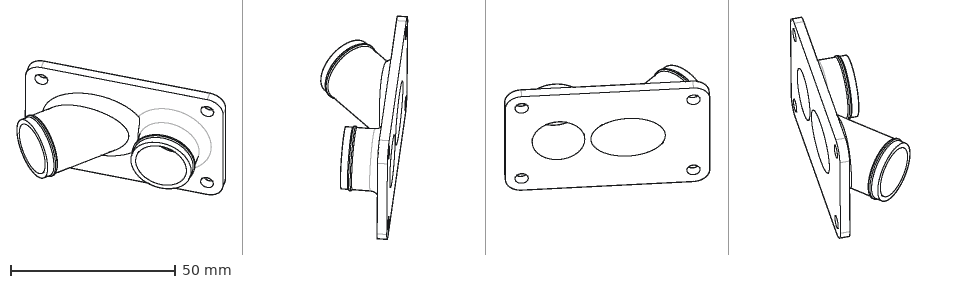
import cadquery as cq
import math

part_length = 62.75
plate_width = 62.5
plate_height = 40.0
plate_thickness = 3.0
corner_radius = 5.0
bolt_hole_diameter = 4.0
bolt_hole_inset = corner_radius

tube_diameter = 19.1
bore_diameter = 16.05
bead_diameter = 19.8
bead_crest_width = 0.5
bead_height = (bead_diameter - tube_diameter) / 2
bead_setback = 2.8
root_blend = plate_thickness

straight_tube_x = 15.0
tube_center_height = 0.4
straight_tube_reach = 15.0

part_lean_degrees = -0.4

tilt = math.radians(45)
angled_tip_depth = 25.2
end_center_depth = angled_tip_depth - tube_diameter / 2 * math.sin(tilt)
angled_end_x = plate_width / 2 - part_length + tube_diameter / 2 * math.cos(tilt)
angled_root_x = angled_end_x + end_center_depth * math.tan(tilt)
angled_tube_length = end_center_depth / math.cos(tilt)
bore_overrun = bore_diameter

straight_root = cq.Vector(straight_tube_x, 0, tube_center_height)
straight_direction = cq.Vector(0, -1, 0)
angled_root = cq.Vector(angled_root_x, 0, tube_center_height)
angled_direction = cq.Vector(-math.sin(tilt), -math.cos(tilt), 0)


def make_plate():
    """Rounded rectangular plate without holes."""
    return (
        cq.Workplane("XZ")
        .rect(plate_width, plate_height)
        .extrude(plate_thickness)
        .edges("|Y")
        .fillet(corner_radius)
    )


def cylinder_along(root, direction, diameter, start, end):
    """Cylinder between two distances from root along direction."""
    base = root + direction * start
    return cq.Workplane(cq.Solid.makeCylinder(diameter / 2, end - start, base, direction))


def plate_with_tube(root, direction, length):
    """Plate joined to one solid tube, trimmed flush with the plate back."""
    tube = cylinder_along(root, direction, tube_diameter, -tube_diameter, length)
    behind_plate = cq.Workplane("XZ").rect(2 * plate_width, 2 * plate_height).extrude(-plate_width)
    return make_plate().union(tube.cut(behind_plate))


def root_edge(body, root, direction):
    """Closed edge where the tube leaves the front face of the plate."""
    center = root + direction * (plate_thickness / abs(direction.y))
    margin = 0.8 * tube_diameter
    return body.edges(
        cq.selectors.BoxSelector(
            (center.x - margin, -plate_thickness - 0.05, -margin),
            (center.x + margin, -plate_thickness + 0.05, margin),
            boundingbox=True,
        )
    )


def bead(root, direction, length):
    """Trapezoidal hose-retaining ring close to the open end of a tube."""
    tube_radius = tube_diameter / 2
    crest_radius = bead_diameter / 2
    half_crest = bead_crest_width / 2
    half_foot = half_crest + bead_height
    middle = root + direction * (length - bead_setback)
    profile_plane = cq.Plane(origin=middle, xDir=(0, 0, 1), normal=cq.Vector(0, 0, 1).cross(direction))
    return (
        cq.Workplane(profile_plane)
        .moveTo(bore_diameter / 2, -half_foot)
        .lineTo(tube_radius, -half_foot)
        .lineTo(crest_radius, -half_crest)
        .lineTo(crest_radius, half_crest)
        .lineTo(tube_radius, half_foot)
        .lineTo(bore_diameter / 2, half_foot)
        .close()
        .revolve(360, (0, 0), (0, 1))
    )


def bore(root, direction, length):
    """Through bore running along a tube and out of the plate back."""
    return cylinder_along(root, direction, bore_diameter, -bore_overrun, length)


def bolt_holes():
    """Four through holes near the plate corners."""
    return (
        cq.Workplane("XZ")
        .rect(plate_width - 2 * bolt_hole_inset, plate_height - 2 * bolt_hole_inset, forConstruction=True)
        .vertices()
        .circle(bolt_hole_diameter / 2)
        .extrude(plate_thickness)
    )


straight = (straight_root, straight_direction, straight_tube_reach)
angled = (angled_root, angled_direction, angled_tube_length)

straight_body = root_edge(plate_with_tube(*straight), *straight[:2]).fillet(root_blend)
angled_body = root_edge(plate_with_tube(*angled), *angled[:2]).chamfer(root_blend)
result = straight_body.union(angled_body)

for tube in (straight, angled):
    result = result.union(bead(*tube))
for tube in (straight, angled):
    result = result.cut(bore(*tube))
result = result.cut(bolt_holes())
result = result.rotate((0, 0, 0), (1, 0, 0), part_lean_degrees)